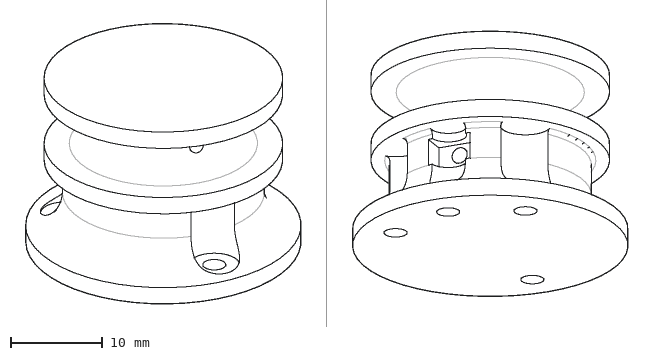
import math

import cadquery as cq

base_radius = 15.0
flange_radius = 13.0
flange_thickness = 2.0

neck_radius = 11.0
neck_height = 8.0
neck_top_fillet = 0.5
neck_base_fillet = base_radius - neck_radius

groove_width = 6.0
groove_floor_radius = 7.25

bolt_circle_radius = 11.0
well_floor_z = 2.0
screw_hole_radius = 1.25
mounting_well_radius = 2.75
mounting_angles = (0, 135, 225)
side_well_radius = 2.0
side_angle = 180

pocket_width = 5.0
pocket_height = 3.0
pocket_floor_x = -8.0

duct_radius = 0.9
duct_inlet_z = 7.7
duct_slope = 2.0

neck_base_z = flange_thickness
pocket_base_z = neck_base_z + neck_base_fillet
middle_flange_z = neck_base_z + neck_height
groove_base_z = middle_flange_z + flange_thickness
groove_top_z = groove_base_z + groove_width
top_z = groove_top_z + flange_thickness
groove_arc_radius = groove_width / 2
groove_edge_radius = groove_floor_radius + groove_arc_radius
groove_middle_z = groove_base_z + groove_arc_radius


def spool_body():
    """Revolve the flanged spool about Z."""
    profile = (
        cq.Workplane("XZ")
        .lineTo(base_radius, 0)
        .lineTo(base_radius, neck_base_z)
        .radiusArc((neck_radius, pocket_base_z), neck_base_fillet)
        .lineTo(neck_radius, middle_flange_z - neck_top_fillet)
        .radiusArc((neck_radius + neck_top_fillet, middle_flange_z), neck_top_fillet)
        .lineTo(flange_radius, middle_flange_z)
        .lineTo(flange_radius, groove_base_z)
        .lineTo(groove_edge_radius, groove_base_z)
        .threePointArc(
            (groove_floor_radius, groove_middle_z),
            (groove_edge_radius, groove_top_z),
        )
        .lineTo(flange_radius, groove_top_z)
        .lineTo(flange_radius, top_z)
        .lineTo(0, top_z)
        .close()
    )
    return profile.revolve(360, (0, 0, 0), (0, 1, 0))


def vertical_cylinder(x, y, radius, bottom_z, end_z):
    return cq.Workplane("XY", origin=(x, y, bottom_z)).circle(radius).extrude(end_z - bottom_z)


def screw_well(angle, well_radius):
    """Well up to the middle flange, with a screw hole through the base."""
    x = bolt_circle_radius * math.cos(math.radians(angle))
    y = bolt_circle_radius * math.sin(math.radians(angle))
    well = vertical_cylinder(x, y, well_radius, well_floor_z, middle_flange_z)
    hole = vertical_cylinder(x, y, screw_hole_radius, 0, middle_flange_z)
    return well.union(hole)


def side_pocket():
    """Flat-backed pocket that opens on the -X side of the neck."""
    return cq.Workplane("XY").box(
        base_radius, pocket_width, pocket_height, centered=(False, True, False)
    ).translate((pocket_floor_x - base_radius, 0, pocket_base_z))


def rope_duct():
    """Z-shaped round duct: in from the pocket, up a steep slope, out into the groove at +X."""
    rise = groove_middle_z - duct_inlet_z
    bend_x = rise / duct_slope / 2
    path = [
        cq.Vector(pocket_floor_x, 0, duct_inlet_z),
        cq.Vector(-bend_x, 0, duct_inlet_z),
        cq.Vector(bend_x, 0, groove_middle_z),
        cq.Vector(groove_edge_radius, 0, groove_middle_z),
    ]
    duct = cq.Workplane("XY")
    for start, end in zip(path, path[1:]):
        leg = end - start
        duct = duct.union(cq.Workplane(cq.Solid.makeCylinder(duct_radius, leg.Length, start, leg)))
    for bend in path[1:-1]:
        duct = duct.union(cq.Workplane("XY").sphere(duct_radius).translate(bend))
    return duct


result = spool_body()
for mounting_angle in mounting_angles:
    result = result.cut(screw_well(mounting_angle, mounting_well_radius))
result = result.cut(screw_well(side_angle, side_well_radius))
result = result.cut(side_pocket())
result = result.cut(rope_duct())